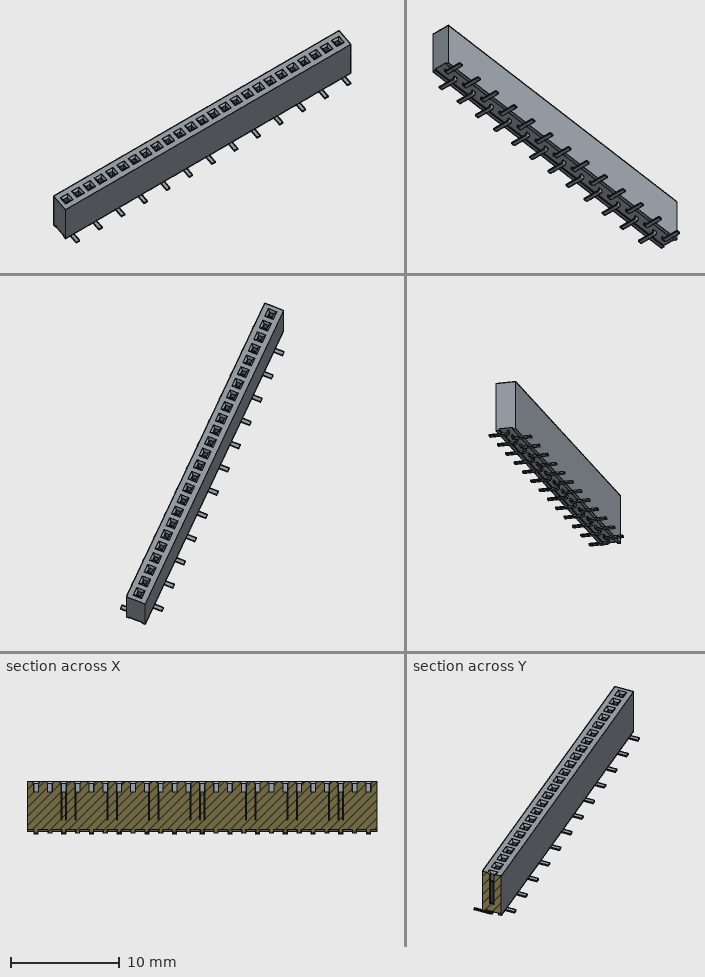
import cadquery as cq

length = 32.1
body_width = 1.9
total_height = 4.8
standoff = 0.2
body_height = total_height - standoff

contact_count = 25
end_margin = 0.8
row_start = length / 2 - end_margin
pitch = 2 * row_start / (contact_count - 1)

funnel_mouth = 0.85
funnel_throat = 0.42
funnel_depth = (funnel_mouth - funnel_throat) / 2
bore_depth = 3.53

groove_width = 1.32
groove_depth = 0.15

lead_span = 3.6
lead_width = 0.4
lead_thickness = 0.13
contact_top = 3.85
inner_bend_radius = 0.05
outer_bend_radius = inner_bend_radius + lead_thickness


def make_housing():
    """Block with a rectangular groove running along its underside."""
    block = cq.Workplane("XY").box(body_width, length, body_height, centered=(True, True, False))
    block = block.translate((0, 0, standoff))
    groove = cq.Workplane("XY").box(groove_width, length, groove_depth, centered=(True, True, False))
    groove = groove.translate((0, 0, standoff))
    return block.cut(groove)


def make_socket(y):
    """Square funnel that narrows into a blind square bore."""
    funnel = (
        cq.Workplane("XY", origin=(0, y, total_height))
        .rect(funnel_mouth, funnel_mouth)
        .workplane(offset=-funnel_depth)
        .rect(funnel_throat, funnel_throat)
        .loft(ruled=True)
    )
    bore = (
        cq.Workplane("XY", origin=(0, y, total_height))
        .rect(funnel_throat, funnel_throat)
        .extrude(-bore_depth)
    )
    return funnel.union(bore)


def make_lead(y, side):
    """Blade standing in the bore, bent flat outward below the housing to the given X side (+1 or -1)."""
    heel = -side * lead_thickness / 2
    face = heel + side * lead_thickness
    bend_end = heel + side * outer_bend_radius
    tip = side * lead_span / 2
    profile = (
        cq.Workplane("XZ", origin=(0, y, 0))
        .moveTo(heel, contact_top)
        .lineTo(heel, outer_bend_radius)
        .tangentArcPoint((bend_end, 0), relative=False)
        .lineTo(tip, 0)
        .lineTo(tip, lead_thickness)
        .lineTo(bend_end, lead_thickness)
        .tangentArcPoint((face, outer_bend_radius), relative=False)
        .lineTo(face, contact_top)
        .close()
    )
    return profile.extrude(lead_width / 2, both=True)


result = make_housing()
for index in range(contact_count):
    contact_y = row_start - index * pitch
    lead_side = 1 if index % 2 == 0 else -1
    result = result.cut(make_socket(contact_y))
    result = result.union(make_lead(contact_y, lead_side))